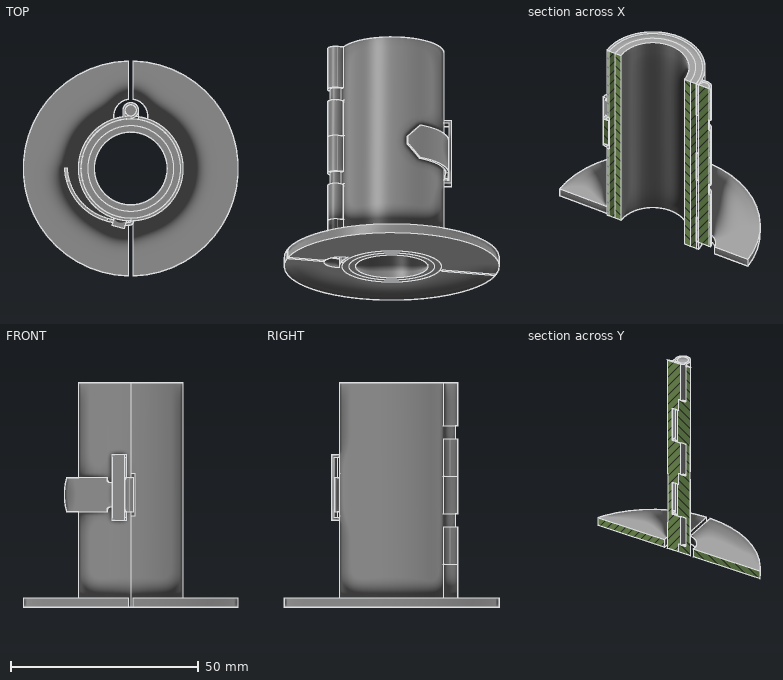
import cadquery as cq
import math

HEIGHT = 60.0
BORE_DIA = 19.4
LINER_SPLIT_DIA = 22.9
LINER_DIA = 26.6
SHELL_DIA = 28.0
SHELL_R = SHELL_DIA / 2
SHELL_MID_R = (SHELL_DIA + LINER_DIA) / 4

FLANGE_DIA = 57.5
FLANGE_THICK = 2.5
FLANGE_GAP = 1.1
HINGE_RELIEF_R = 4.5

PIN_DIA = 3.0
PIN_R = PIN_DIA / 2
KNUCKLE_R = 2.1
PIN_Y = 15.55
KNUCKLE_LENGTH = 10.0
KNUCKLE_GAP = 3.5
TOP_KNUCKLE_LENGTH = 11.5

KEEPER_TILT = math.radians(15)
KEEPER_BOTTOM = 23.2
KEEPER_HEIGHT = 17.6
KEEPER_TOP = KEEPER_BOTTOM + KEEPER_HEIGHT
KEEPER_START = -0.9
KEEPER_WIDTH = 3.4
KEEPER_END = KEEPER_START + KEEPER_WIDTH
KEEPER_OUTER = 15.95
KEEPER_SEAT = 13.75
KEEPER_WALL = 0.7
KEEPER_BAR_INNER = KEEPER_OUTER - KEEPER_WALL

STRAP_THICK = 0.8
STRAP_HEIGHT = 9.1
STRAP_MID_Z = 30.05
STRAP_R = 15.5
STRAP_CENTRE_ALONG = -2.4
STRAP_CENTRE_OUT = KEEPER_BAR_INNER - STRAP_R
STRAP_ARC_END = -0.6
STRAP_TIP_Y = 0.1
STRAP_TIP_HEIGHT = 2.1
STRAP_LEG_Y = -15.2
NECK_HEIGHT = 6.5
NECK_START = -2.5
NECK_FILLET = 0.9
HOOK_INNER_R = 0.35
HOOK_R = HOOK_INNER_R + STRAP_THICK
HOOK_END_Y = -13.4

WINDOW_WIDTH = 1.15
WINDOW_HEIGHT = 11.35

LEFT = -1
RIGHT = 1
DIAGONAL = math.sqrt(0.5)


def tube(outer_dia, inner_dia, height):
    """A tube around the Z axis, standing on Z = 0."""
    return cq.Workplane("XY").circle(outer_dia / 2).circle(inner_dia / 2).extrude(height)


def side_block(side, width, y0, y1, z0, z1):
    """A box that reaches the given width from the X = 0 plane to one side."""
    x0 = min(0, side * width)
    return cq.Workplane("XY").box(width, y1 - y0, z1 - z0, centered=False).translate((x0, y0, z0))


def half_of(body, side):
    """The part of a body on one side of the X = 0 plane."""
    return body.intersect(side_block(side, FLANGE_DIA, -FLANGE_DIA, FLANGE_DIA, 0, HEIGHT))


def half_flange(side):
    """Half of the flange ring, with the gap to the other half and the relief around the hinge."""
    gap = cq.Workplane("XY").rect(FLANGE_GAP, 2 * FLANGE_DIA).extrude(FLANGE_THICK)
    relief = cq.Workplane("XY").center(0, SHELL_R).circle(HINGE_RELIEF_R).extrude(FLANGE_THICK)
    ring = tube(FLANGE_DIA, SHELL_DIA, FLANGE_THICK)
    return half_of(ring, side).cut(gap).cut(relief)


def knuckle_spans():
    """The (bottom, top) heights of the knuckles on each shell half."""
    top_left_bottom = HEIGHT - TOP_KNUCKLE_LENGTH
    upper_right_top = top_left_bottom - KNUCKLE_GAP
    middle_left_top = upper_right_top - KNUCKLE_LENGTH
    middle_left_bottom = middle_left_top - KNUCKLE_LENGTH
    lower_right_top = middle_left_bottom - KNUCKLE_GAP
    lower_right_bottom = lower_right_top - KNUCKLE_LENGTH
    return {
        LEFT: [
            (top_left_bottom, HEIGHT),
            (middle_left_bottom, middle_left_top),
            (FLANGE_THICK, lower_right_bottom),
        ],
        RIGHT: [
            (middle_left_top, upper_right_top),
            (lower_right_bottom, lower_right_top),
        ],
    }


def knuckle(side, bottom, top):
    """A three-quarter curl around the pin, with a straight leg down into its own shell half."""
    leg_foot_y = math.sqrt(SHELL_MID_R**2 - KNUCKLE_R**2)

    def far_point(radius):
        return (-side * radius * DIAGONAL, PIN_Y + radius * DIAGONAL)

    return (
        cq.Workplane("XY")
        .workplane(offset=bottom)
        .moveTo(side * KNUCKLE_R, leg_foot_y)
        .lineTo(side * KNUCKLE_R, PIN_Y)
        .threePointArc(far_point(KNUCKLE_R), (0, PIN_Y - KNUCKLE_R))
        .lineTo(0, PIN_Y - PIN_R)
        .threePointArc(far_point(PIN_R), (side * PIN_R, PIN_Y))
        .lineTo(side * PIN_R, leg_foot_y)
        .close()
        .extrude(top - bottom)
    )


def clamp_half(side):
    """A shell half with its flange half and knuckles, notched for the knuckles of the other half."""
    spans = knuckle_spans()
    body = half_of(tube(SHELL_DIA, LINER_DIA, HEIGHT), side)
    for bottom, top in spans[-side]:
        body = body.cut(side_block(side, KNUCKLE_R, 0, PIN_Y, bottom, top))
    body = body.union(half_flange(side))
    for bottom, top in spans[side]:
        body = body.union(knuckle(side, bottom, top))
    return body


def tilted(along, out):
    """The XY point at the given distances along and out in the keeper's turned direction."""
    return (
        along * math.cos(KEEPER_TILT) - out * math.sin(KEEPER_TILT),
        -along * math.sin(KEEPER_TILT) - out * math.cos(KEEPER_TILT),
    )


def tilted_block(start, end, inner, outer, bottom, top):
    """A box square to the keeper's turned direction."""
    corners = [tilted(start, inner), tilted(end, inner), tilted(end, outer), tilted(start, outer)]
    return cq.Workplane("XY").workplane(offset=bottom).polyline(corners).close().extrude(top - bottom)


def add_keeper(shell):
    """Joins the keeper to a shell half and opens the strap passage, with a flat seat on the shell."""
    bracket = tilted_block(
        KEEPER_START, KEEPER_END, KEEPER_SEAT, KEEPER_OUTER, KEEPER_BOTTOM, KEEPER_TOP
    )
    passage = tilted_block(
        KEEPER_START,
        KEEPER_END,
        KEEPER_SEAT,
        KEEPER_BAR_INNER,
        KEEPER_BOTTOM + KEEPER_WALL,
        KEEPER_TOP - KEEPER_WALL,
    )
    return shell.union(bracket).cut(passage)


def cut_hook_window(shell):
    """Opens the window for the strap hook at the split edge of a shell half."""
    bottom = STRAP_MID_Z - WINDOW_HEIGHT / 2
    return shell.cut(side_block(RIGHT, WINDOW_WIDTH, -SHELL_R, 0, bottom, bottom + WINDOW_HEIGHT))


def strap_profile():
    """The strap seen along Z: lever arc, bend inside the keeper, short leg and quarter-round hook."""
    centre_x, centre_y = tilted(STRAP_CENTRE_ALONG, STRAP_CENTRE_OUT)
    inner_r = STRAP_R - STRAP_THICK
    turn_in_keeper = math.asin((STRAP_ARC_END - STRAP_CENTRE_ALONG) / STRAP_R)
    end_angle = math.radians(270) - KEEPER_TILT + turn_in_keeper
    tip_angle = math.pi - math.asin((STRAP_TIP_Y - centre_y) / STRAP_R)
    mid_angle = (end_angle + tip_angle) / 2

    def on_lever(radius, angle):
        return (centre_x + radius * math.cos(angle), centre_y + radius * math.sin(angle))

    bend_along = (-STRAP_LEG_Y - KEEPER_BAR_INNER * math.cos(KEEPER_TILT)) / math.sin(KEEPER_TILT)
    bend_x, bend_y = tilted(bend_along, KEEPER_BAR_INNER)
    inner_bend = (bend_x + STRAP_THICK * math.tan(KEEPER_TILT / 2), bend_y + STRAP_THICK)

    hook_x = -HOOK_INNER_R
    hook_y = STRAP_LEG_Y + HOOK_R

    def hook_middle(radius):
        return (hook_x + radius * DIAGONAL, hook_y - radius * DIAGONAL)

    return (
        cq.Workplane("XY")
        .workplane(offset=STRAP_MID_Z - STRAP_HEIGHT / 2)
        .moveTo(*on_lever(STRAP_R, tip_angle))
        .threePointArc(on_lever(STRAP_R, mid_angle), on_lever(STRAP_R, end_angle))
        .lineTo(bend_x, bend_y)
        .lineTo(hook_x, STRAP_LEG_Y)
        .threePointArc(hook_middle(HOOK_R), (hook_x + HOOK_R, hook_y))
        .lineTo(hook_x + HOOK_R, HOOK_END_Y)
        .lineTo(0, HOOK_END_Y)
        .lineTo(0, hook_y)
        .threePointArc(hook_middle(HOOK_INNER_R), (hook_x, STRAP_LEG_Y + STRAP_THICK))
        .lineTo(*inner_bend)
        .lineTo(*on_lever(inner_r, end_angle))
        .threePointArc(on_lever(inner_r, mid_angle), on_lever(inner_r, tip_angle))
        .close()
    )


def neck_notch(edge_z):
    """The round-cornered notch that narrows the strap from its edge at the given height."""
    depth = (STRAP_HEIGHT - NECK_HEIGHT) / 2
    notch = tilted_block(
        NECK_START, KEEPER_END, KEEPER_SEAT, KEEPER_OUTER, edge_z - depth, edge_z + depth
    )
    out_direction = cq.Vector(*tilted(0, 1), 0)
    return notch.edges(cq.selectors.ParallelDirSelector(out_direction)).fillet(NECK_FILLET)


def tip_corner(edge_z, inward):
    """The 45-degree corner cut at the free end; inward is the Z direction toward the strap's middle."""
    taper = (STRAP_HEIGHT - STRAP_TIP_HEIGHT) / 2
    return (
        cq.Workplane("YZ")
        .moveTo(STRAP_TIP_Y - taper, edge_z)
        .lineTo(STRAP_TIP_Y + taper, edge_z + inward * 2 * taper)
        .lineTo(STRAP_TIP_Y + taper, edge_z)
        .close()
        .extrude(-FLANGE_DIA / 2)
    )


def make_strap():
    body = strap_profile().extrude(STRAP_HEIGHT)
    for inward in (-1, 1):
        edge_z = STRAP_MID_Z - inward * STRAP_HEIGHT / 2
        body = body.cut(neck_notch(edge_z)).cut(tip_corner(edge_z, inward))
    return body


def make_hinge_pin():
    """The hinge pin, from the top of the flange to the top of the shell."""
    start = cq.Workplane("XY").workplane(offset=FLANGE_THICK)
    return start.center(0, PIN_Y).circle(PIN_R).extrude(HEIGHT - FLANGE_THICK)


left_half = add_keeper(clamp_half(LEFT))
right_half = cut_hook_window(clamp_half(RIGHT))
outer_liner = tube(LINER_DIA, LINER_SPLIT_DIA, HEIGHT)
inner_liner = tube(LINER_SPLIT_DIA, BORE_DIA, HEIGHT)
hinge_pin = make_hinge_pin()
strap = make_strap()

result = cq.Compound.makeCompound([
    left_half.val(),
    right_half.val(),
    outer_liner.val(),
    inner_liner.val(),
    hinge_pin.val(),
    strap.val(),
])